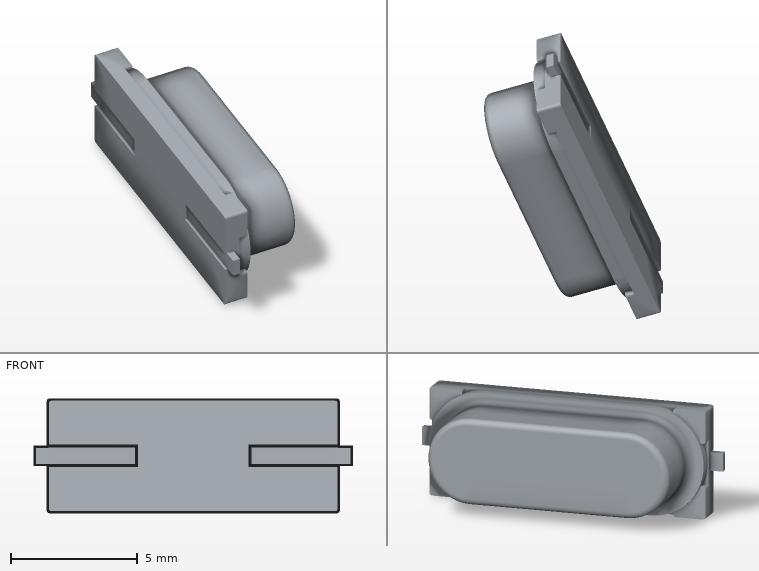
import cadquery as cq

base_length = 11.48
base_width = 4.45
base_height = 1.0
corner_radius = 0.11

seat_height = 0.65
post_size = 1.35

flange_length = 11.4
flange_width = 4.4
flange_top = 1.15
cap_length = 10.0
cap_width = 3.5
can_top = 3.55
top_fillet = 0.25
root_fillet = 0.25

overall_length = 12.5
lead_length = 4.0
lead_width = 0.74
lead_bottom = 0.1
lead_thickness = 0.3
lead_top = lead_bottom + lead_thickness
slot_clearance = 0.04


def block(length, width, bottom, top, center_x=0.0):
    """Box centred on Z = 0 that spans Y from bottom to top."""
    height = top - bottom
    return cq.Workplane("XY").box(length, height, width).translate((center_x, bottom + height / 2, 0))


def stadium(length, width, bottom, top):
    """Prism with semicircular ends that spans Y from bottom to top."""
    return (
        cq.Workplane("XZ", origin=(0, bottom, 0))
        .slot2D(length, width)
        .extrude(bottom - top)
    )


def rounded_block(length, width, bottom, top):
    """Box with rounded edges along Y."""
    return block(length, width, bottom, top).edges("|Y").fillet(corner_radius)


def make_post(side_x, side_z):
    """Corner post with all four edges along Y rounded."""
    center_x = side_x * (base_length - post_size) / 2
    center_z = side_z * (base_width - post_size) / 2
    return rounded_block(post_size, post_size, 0, base_height).translate((center_x, 0, center_z))


def make_lead_slot(side_x):
    """Slot that opens through the bottom and one end of the base."""
    slot_length = lead_length + slot_clearance
    center_x = side_x * (overall_length - slot_length) / 2
    return block(slot_length, lead_width + 2 * slot_clearance, 0, lead_top, center_x)


def make_base():
    base = rounded_block(base_length, base_width, 0, seat_height)
    for side_x in (-1, 1):
        for side_z in (-1, 1):
            base = base.union(make_post(side_x, side_z))
    base = base.cut(stadium(flange_length, flange_width, seat_height, base_height))
    for side_x in (-1, 1):
        base = base.cut(make_lead_slot(side_x))
    return base


def make_can():
    flange = stadium(flange_length, flange_width, seat_height, flange_top)
    cap = stadium(cap_length, cap_width, flange_top, can_top).faces(">Y").edges().fillet(top_fillet)
    can = flange.union(cap)
    root_edge = can.edges(cq.selectors.NearestToPointSelector((0, flange_top, cap_width / 2)))
    return root_edge.fillet(root_fillet)


def make_lead(side_x):
    center_x = side_x * (overall_length - lead_length) / 2
    return block(lead_length, lead_width, lead_bottom, lead_top, center_x)


base = make_base()
can = make_can()
leads = [make_lead(side_x).val() for side_x in (-1, 1)]

result = cq.Compound.makeCompound([base.val(), can.val(), *leads])